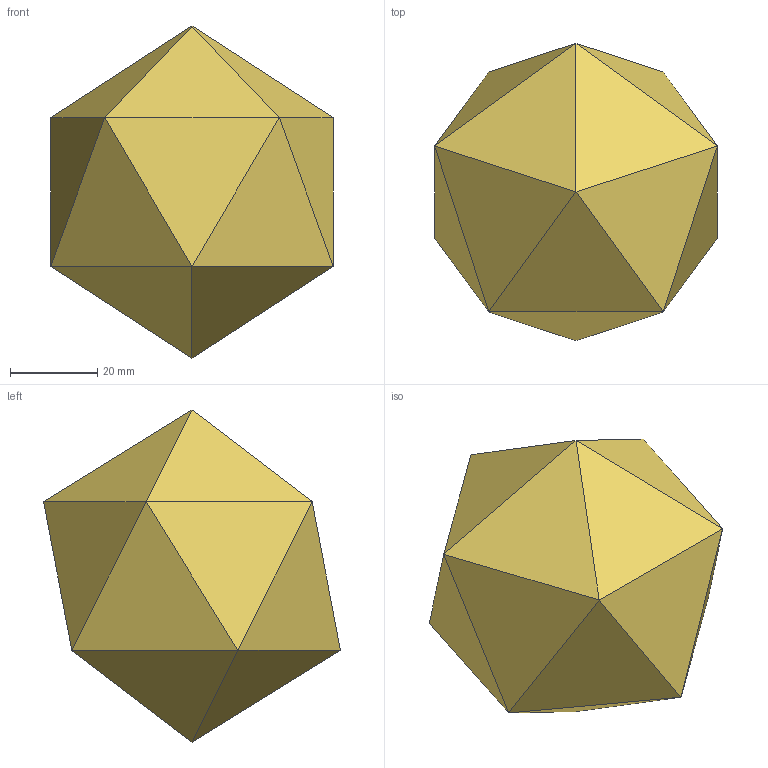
import cadquery as cq
import math

edge_length = 40.0
ring_count = 5
ring_step = 360.0 / ring_count

ring_radius = edge_length / (2 * math.sin(math.pi / ring_count))
ring_height = ring_radius / 2
apex_height = ring_height * math.sqrt(5)

upper_start_angle = 90.0
lower_start_angle = upper_start_angle + ring_step / 2


def ring_vertices(start_angle, height):
    """Vertices of one horizontal pentagon, counter-clockwise from above."""
    vertices = []
    for index in range(ring_count):
        angle = math.radians(start_angle + index * ring_step)
        x = ring_radius * math.cos(angle)
        y = ring_radius * math.sin(angle)
        vertices.append(cq.Vector(x, y, height))
    return vertices


def triangle(*corners):
    """Flat triangular face through three corners."""
    return cq.Face.makeFromWires(cq.Wire.makePolygon(corners, close=True))


def icosahedron():
    """Solid bounded by two five-sided caps and a belt of ten triangles."""
    top = cq.Vector(0, 0, apex_height)
    bottom = cq.Vector(0, 0, -apex_height)
    upper = ring_vertices(upper_start_angle, ring_height)
    lower = ring_vertices(lower_start_angle, -ring_height)

    faces = []
    for index in range(ring_count):
        following = (index + 1) % ring_count
        faces.append(triangle(top, upper[index], upper[following]))
        faces.append(triangle(upper[index], lower[index], upper[following]))
        faces.append(triangle(lower[index], lower[following], upper[following]))
        faces.append(triangle(bottom, lower[following], lower[index]))
    return cq.Solid.makeSolid(cq.Shell.makeShell(faces))


result = cq.Workplane("XY").newObject([icosahedron()])